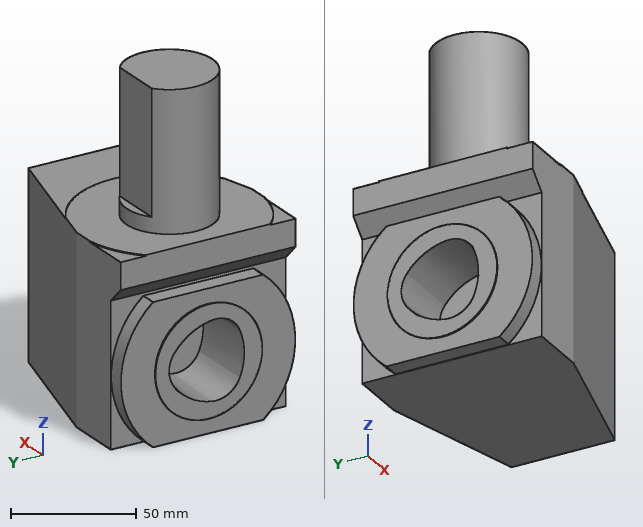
import cadquery as cq
import math


block_width = 82.0
block_height = 85.0
block_front = -29.5
block_back = 69.0
taper_start = 4.0
taper_angle = 15.0
seat_diameter = 82.9
seat_rise = 0.5
recess_face = -22.0
lip_height = 12.6

shank_diameter = 40.0
shank_length = 148.0 - block_height
flat_offset = 15.8
flat_start = 7.0

unit_axis_z = -53.0
flange_diameter = 81.7
flange_height = 63.3
face_diameter = 50.0
face_rise = 0.6
sleeve_diameter = face_diameter
socket_depth = 30.0
socket_taper = math.degrees(math.atan(1 / 40))
sleeve_floor = 4.5
unit_front = block_front - face_rise
sleeve_back = unit_front + socket_depth + sleeve_floor

lobe_count = 3
lobe_radius = 12.3
lobe_offset = 6.4
side_offset = 16.6


def unit_plane(x):
    """Plane across the unit axis: local x is -Y, local y is +Z, normal is -X."""
    return cq.Plane(origin=(x, 0, unit_axis_z), xDir=(0, -1, 0), normal=(-1, 0, 0))


def unit_cylinder(diameter, front, back):
    return cq.Workplane(unit_plane(back)).circle(diameter / 2).extrude(back - front)


def make_block():
    half_width = block_width / 2
    back_half_width = half_width - (block_back - taper_start) * math.tan(math.radians(taper_angle))
    outline = [
        (block_front, -half_width),
        (taper_start, -half_width),
        (block_back, -back_half_width),
        (block_back, back_half_width),
        (taper_start, half_width),
        (block_front, half_width),
    ]
    prism = cq.Workplane("XY").workplane(offset=-block_height).polyline(outline).close()
    prism = prism.extrude(block_height)

    seat_cut = (
        cq.Workplane("XY").workplane(offset=-seat_rise)
        .rect(4 * block_back, 2 * block_width)
        .circle(seat_diameter / 2)
        .extrude(seat_rise)
    )

    recess_depth = recess_face - block_front
    recess = (
        cq.Workplane("XZ")
        .moveTo(block_front, -lip_height)
        .lineTo(recess_face, -lip_height - recess_depth)
        .lineTo(recess_face, -block_height)
        .lineTo(block_front, -block_height)
        .close()
        .extrude(block_width / 2, both=True)
    )
    return prism.cut(seat_cut).cut(recess)


def make_shank():
    shank = cq.Workplane("XY").circle(shank_diameter / 2).extrude(shank_length)
    flat_depth = shank_diameter / 2 - flat_offset
    flat_cut = cq.Workplane("XY").box(
        shank_diameter, flat_depth, shank_length - flat_start, centered=(True, False, False)
    )
    return shank.cut(flat_cut.translate((0, flat_offset, flat_start)))


def make_housing():
    bore = unit_cylinder(sleeve_diameter, recess_face, sleeve_back)
    return make_block().union(make_shank()).cut(bore)


def make_socket():
    """Tapered socket bounded by three lobe arcs and three tangent side arcs."""
    reach = side_offset - lobe_radius
    side_centre = (lobe_offset**2 - reach**2) / (2 * reach - lobe_offset)
    half_pitch = math.pi / lobe_count
    half_sweep = math.atan2(
        side_centre * math.sin(half_pitch),
        lobe_offset + side_centre * math.cos(half_pitch),
    )

    def polar(radius, angle):
        return (radius * math.cos(angle), radius * math.sin(angle))

    def lobe_point(lobe_angle, turn):
        centre = polar(lobe_offset, lobe_angle)
        arm = polar(lobe_radius, lobe_angle + turn)
        return (centre[0] + arm[0], centre[1] + arm[1])

    outline = cq.Workplane(unit_plane(unit_front)).moveTo(*lobe_point(math.pi, -half_sweep))
    for index in range(lobe_count):
        angle = math.pi + 2 * half_pitch * index
        next_angle = angle + 2 * half_pitch
        outline = outline.threePointArc(lobe_point(angle, 0), lobe_point(angle, half_sweep))
        outline = outline.threePointArc(
            polar(side_offset, angle + half_pitch), lobe_point(next_angle, -half_sweep)
        )
    return outline.close().extrude(-socket_depth, taper=socket_taper)


def make_clamping_unit():
    flats = cq.Workplane(unit_plane(recess_face)).rect(flange_diameter, flange_height)
    flats = flats.extrude(recess_face - block_front)
    flange = unit_cylinder(flange_diameter, block_front, recess_face).intersect(flats)
    raised_face = unit_cylinder(face_diameter, unit_front, block_front)
    sleeve = unit_cylinder(sleeve_diameter, recess_face, sleeve_back)
    return flange.union(raised_face).union(sleeve).cut(make_socket())


housing = make_housing()
clamping_unit = make_clamping_unit()

result = cq.Compound.makeCompound([housing.val(), clamping_unit.val()])